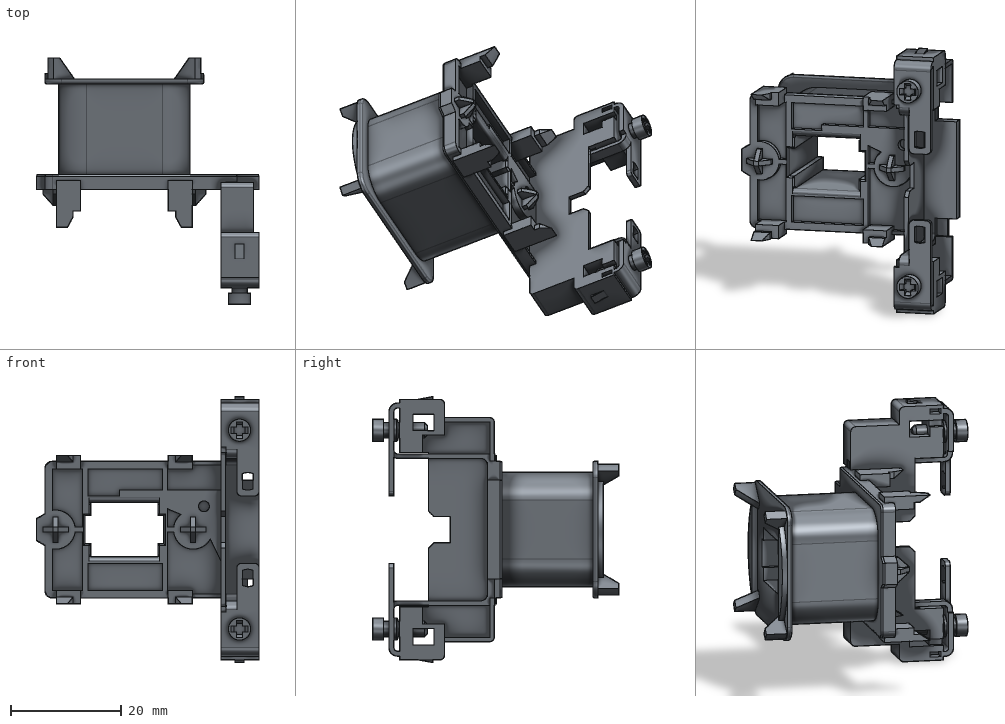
import cadquery as cq


BLOCK_LEFT = 17.55

FLANGE_THICK = 2.7
FLANGE_LEFT = -14.45
FLANGE_RIGHT = 24.5
FLANGE_HALF_H = 12.43
FLANGE_CORNER_R = 1.35
FLANGE_BEVEL_DEPTH = 0.37
FLANGE_BEVEL_ANGLE = 22
FLANGE_TAIL_HALF_H = 9.0
FLANGE_SHELF_RIGHT = 22.4
FLANGE_SHELF_FRONT_Y = 1.3
TONGUE_TIP_X = -16.0
TONGUE_BASE_HALF = 2.9
TONGUE_TIP_HALF = 2.0
CORE_HALF_W = 11.97
CORE_HALF_H = 10.43
CORE_CORNER_R = 5.05
REAR_Y = 20.1
REAR_THICK = 0.92
REAR_HALF_W = 14.45
REAR_HALF_H = 12.45
REAR_CORNER_R = 3.0
REAR_EDGE_R = 0.4
LIP_DEPTH = 1.0
LIP_HALF_H = 8.75
LIP_INNER_X = 11.0

WINDOW_HALF_W = 6.08
WINDOW_HALF_H = 4.9
NOTCH_HALF_W = 7.15
NOTCH_HALF_H = 2.55
MOUTH_BEVEL = 0.32
MOUTH_ROUND = 0.85

LEG_OUTER_POINT = (13.9, 10.7)
LEG_WIDTH = 1.6
LEG_ANGLE = -40
LEG_TIP_Y = 23.93
LEG_TIP_LENGTH = 1.45
LEG_BASE_LENGTH = 4.95

POCKET_DEPTH = 1.3
POCKET_OUTER_Z = 11.05
SIDE_POCKET_OUTER_Z = 11.74
SIDE_POCKET_LEFT = 7.8
SIDE_POCKET_UPPER_FLOOR_Z = 7.2
LEFT_POCKET_LEFT = -13.05
LEFT_POCKET_RIGHT = -7.6
MID_POCKET_LEFT = -6.6
MID_POCKET_RIGHT = 6.95
MID_POCKET_INNER_Z = 6.15
MID_POCKET_STEP_X = -0.9
RAMP_TOP_POINT = (15.63, -1.72)
RAMP_BOTTOM_POINT = (BLOCK_LEFT, -5.7)
CORNER_POCKET_TIP = (10.27, 2.75)
CORNER_POCKET_TOP_Z = 3.8
PIN_X = 12.5
PIN_BOSS_R = 3.56
PIN_RIB_HALF = 0.43
BLIND_HOLE_POINT = (14.47, 4.23)
BLIND_HOLE_R = 0.98
BLIND_HOLE_DEPTH = 1.5

PIN_HALF_W = 2.3
PIN_BLADE = 0.87
PIN_SHOULDER = 0.85
PIN_LENGTH = 2.92

LUG_BACK_Y = 1.65
LUG_SHOULDER_Y = -3.92
LUG_NECK_Y = -4.95
LUG_TIP_Y = -6.9
LUG_BOTTOM_Z = 11.05
LUG_STEP_Z = 12.25
LUG_TOP_Z = 13.5
LUG_OUTER_X = 12.35
LUG_INNER_X = 7.95
LUG_STEP_X = 9.3
LUG_TIP_X = 10.35

BLOCK_RIGHT = FLANGE_RIGHT
WALL = 0.8
ARM_RIGHT = 23.5
ARM_BACK_Y = 1.28
ARM_TOP_Z = 20.4
BOX_BACK_Y = -7.77
BOX_FRONT_Y = -15.95
BOX_TOP_Z = 23.7
BOX_BOTTOM_Z = 14.0
BOX_CORNER_R = 0.9
BOX_FOOT_BACK_Y = -11.75
WEB_FRONT_Y = -10.7
WEB_GAP_Y = -6.75
WEB_GAP_HALF = 2.35
WEB_GAP_CHAMFER = 1.0
WINDOW_BACK_Y = -9.7
WINDOW_FRONT_Y = -13.5
WINDOW_BOTTOM_Z = 18.0
WINDOW_TOP_Z = 20.95
SLIT_BOTTOM_Z = 19.7
SLIT_DEPTH = 1.0
BUMP_LEFT = 20.1
BUMP_RIGHT = 21.75
BUMP_BACK_Y = -9.9
BUMP_FRONT_Y = -12.55
BUMP_TOP_Z = 24.2

SHEET = 0.93
SHEET_FRONT_Y = -17.9
SHEET_TOP_Z = 23.03
SHEET_EDGE_Z = 15.0
BEND_R = 1.6
ARM_END_Y = -15.5
ARM_SLOT_DEPTH = 2.0
TAB_LEFT = 18.5
TAB_RIGHT = 20.45
TAB_BOTTOM_Z = 12.95
TAB_THICK = 0.82
TAB_BEND_R = 1.6
TAB_ROOT_R = TAB_BOTTOM_Z - SIDE_POCKET_OUTER_Z
BLADE_BOTTOM_Z = 6.14
BLADE_CORNER_R = 0.8
EYE_X = 22.43
EYE_WIDTH = 1.94
EYE_BOTTOM_Z = 7.2
EYE_TOP_Z = 10.35
EYE_BULGE = 0.2

SCREW_X = 20.94
SCREW_Z = 18.07
SHANK_R = 1.42
HEAD_R = 2.02
HEAD_FRONT_Y = -20.87
HEAD_HEIGHT = 2.02
SCREW_TIP_Y = -10.87
SCREW_TIP_CHAMFER = 0.58
WASHER_BACK_Y = -16.25
WASHER_CHAMFER = 0.25
DRIVE_HALF_W = 1.52
DRIVE_FLOOR_HALF_W = 1.0
DRIVE_BLADE = 1.15
DRIVE_STRAIGHT = 0.2
DRIVE_DEPTH = 1.2


def block(x0, x1, y0, y1, z0, z1):
    """Box between the given limits, in any order."""
    box = cq.Workplane("XY").box(abs(x1 - x0), abs(y1 - y0), abs(z1 - z0))
    return box.translate(((x0 + x1) / 2, (y0 + y1) / 2, (z0 + z1) / 2))


def prism_y(points, y0, y1):
    """Polygon of (x, z) points extruded from y0 to y1."""
    return cq.Workplane("XZ", origin=(0, y0, 0)).polyline(points).close().extrude(y0 - y1)


def prism_x(points, x0, x1):
    """Polygon of (y, z) points extruded from x0 to x1."""
    return cq.Workplane("YZ", origin=(x0, 0, 0)).polyline(points).close().extrude(x1 - x0)


def disc_y(x, z, radius, y0, y1):
    """Cylinder along Y from y0 to y1."""
    return cq.Workplane("XZ", origin=(x, y0, z)).circle(radius).extrude(y0 - y1)


def with_x_mirror(body):
    return body.union(body.mirror("YZ"))


def with_z_mirror(body):
    return body.union(body.mirror("XY"))


def crossed_blades(half_w, tip_half_w, thickness, y0, y_shoulder, y1):
    """Two crossed blades along Y about the Y axis, tapering from y_shoulder to y1."""
    outline = [
        (-half_w, y0),
        (-half_w, y_shoulder),
        (-tip_half_w, y1),
        (tip_half_w, y1),
        (half_w, y_shoulder),
        (half_w, y0),
    ]
    blade = cq.Workplane("XY").polyline(outline).close().extrude(thickness / 2, both=True)
    return blade.union(blade.rotate((0, 0, 0), (0, 1, 0), 90))


def window_outline(grow):
    """Plus-shaped window section, enlarged all round by grow."""
    w = WINDOW_HALF_W + grow
    h = WINDOW_HALF_H + grow
    nw = NOTCH_HALF_W + grow
    nh = NOTCH_HALF_H + grow
    return [
        (-nw, -nh), (-w, -nh), (-w, -h), (w, -h), (w, -nh), (nw, -nh),
        (nw, nh), (w, nh), (w, h), (-w, h), (-w, nh), (-nw, nh),
    ]


def cut_window(body):
    """Through window with a bevelled mouth and rounded top and bottom lips."""
    body = body.cut(prism_y(window_outline(0), 0, REAR_Y))
    mouth = cq.Workplane("XZ").polyline(window_outline(MOUTH_BEVEL)).close()
    body = body.cut(mouth.extrude(-MOUTH_BEVEL, taper=45))
    lip_half_w = WINDOW_HALF_W + MOUTH_BEVEL
    lip = (
        cq.Workplane("YZ", origin=(-lip_half_w, 0, 0))
        .moveTo(0, WINDOW_HALF_H - MOUTH_BEVEL)
        .lineTo(0, WINDOW_HALF_H + MOUTH_ROUND)
        .radiusArc((MOUTH_ROUND, WINDOW_HALF_H), -MOUTH_ROUND)
        .lineTo(MOUTH_ROUND, WINDOW_HALF_H - MOUTH_BEVEL)
        .close()
        .extrude(2 * lip_half_w)
    )
    return body.cut(with_z_mirror(lip))


def front_flange_blank():
    """Front flange with bevelled rear edge, left tongue, right tail and a shelf below the tail."""
    h = FLANGE_HALF_H
    r = FLANGE_CORNER_R
    outline = (
        cq.Workplane("XZ")
        .moveTo(TAB_RIGHT, -h)
        .lineTo(TAB_RIGHT, -FLANGE_TAIL_HALF_H)
        .lineTo(FLANGE_RIGHT, -FLANGE_TAIL_HALF_H)
        .lineTo(FLANGE_RIGHT, FLANGE_TAIL_HALF_H)
        .lineTo(TAB_RIGHT, FLANGE_TAIL_HALF_H)
        .lineTo(TAB_RIGHT, h)
        .lineTo(FLANGE_LEFT + r, h)
        .radiusArc((FLANGE_LEFT, h - r), -r)
        .lineTo(FLANGE_LEFT, TONGUE_BASE_HALF)
        .lineTo(TONGUE_TIP_X, TONGUE_TIP_HALF)
        .lineTo(TONGUE_TIP_X, -TONGUE_TIP_HALF)
        .lineTo(FLANGE_LEFT, -TONGUE_BASE_HALF)
        .lineTo(FLANGE_LEFT, r - h)
        .radiusArc((FLANGE_LEFT + r, -h), -r)
        .close()
    )
    plate = outline.extrude(FLANGE_BEVEL_DEPTH - FLANGE_THICK)
    plate = plate.faces(">Y").wires().toPending().workplane()
    plate = plate.extrude(FLANGE_BEVEL_DEPTH, taper=FLANGE_BEVEL_ANGLE)
    shelf_back_y = FLANGE_THICK - FLANGE_BEVEL_DEPTH
    shelf = block(
        TAB_RIGHT, FLANGE_SHELF_RIGHT, FLANGE_SHELF_FRONT_Y, shelf_back_y, -h, -FLANGE_TAIL_HALF_H
    )
    return plate.union(shelf)


def flange_pockets():
    """Shallow recesses in the front flange, leaving the pin bosses, ribs and rims standing."""
    d = POCKET_DEPTH
    left = block(LEFT_POCKET_LEFT, LEFT_POCKET_RIGHT, 0, d, -POCKET_OUTER_Z, POCKET_OUTER_Z)
    left = left.cut(block(-PIN_X, 0, 0, d, -PIN_RIB_HALF, PIN_RIB_HALF))
    upper = prism_y(
        [
            (MID_POCKET_LEFT, POCKET_OUTER_Z),
            (MID_POCKET_RIGHT, POCKET_OUTER_Z),
            (MID_POCKET_RIGHT, SIDE_POCKET_UPPER_FLOOR_Z),
            (MID_POCKET_STEP_X, SIDE_POCKET_UPPER_FLOOR_Z),
            (MID_POCKET_STEP_X, MID_POCKET_INNER_Z),
            (MID_POCKET_LEFT, MID_POCKET_INNER_Z),
        ],
        0,
        d,
    )
    lower = block(MID_POCKET_LEFT, MID_POCKET_RIGHT, 0, d, -POCKET_OUTER_Z, -MID_POCKET_INNER_Z)
    side_upper = block(
        SIDE_POCKET_LEFT, BLOCK_LEFT, 0, d, SIDE_POCKET_UPPER_FLOOR_Z, SIDE_POCKET_OUTER_Z
    )
    side_lower = prism_y(
        [
            (SIDE_POCKET_LEFT, -PIN_RIB_HALF), (PIN_X, -PIN_RIB_HALF), RAMP_TOP_POINT,
            RAMP_BOTTOM_POINT, (BLOCK_LEFT, -SIDE_POCKET_OUTER_Z),
            (SIDE_POCKET_LEFT, -SIDE_POCKET_OUTER_Z),
        ],
        0,
        d,
    )
    side_corner = prism_y(
        [
            (SIDE_POCKET_LEFT, PIN_RIB_HALF), (PIN_X, PIN_RIB_HALF),
            CORNER_POCKET_TIP, (SIDE_POCKET_LEFT, CORNER_POCKET_TOP_Z),
        ],
        0,
        d,
    )
    pockets = left
    for pocket in (upper, lower, side_upper, side_lower, side_corner):
        pockets = pockets.union(pocket)
    for x in (-PIN_X, PIN_X):
        pockets = pockets.cut(disc_y(x, 0, PIN_BOSS_R, 0, d))
    hole_x, hole_z = BLIND_HOLE_POINT
    return pockets.union(disc_y(hole_x, hole_z, BLIND_HOLE_R, 0, BLIND_HOLE_DEPTH))


def rear_flange():
    """Rear flange with a rounded front rim and two raised arc lips behind it."""
    plate = (
        cq.Workplane("XZ", origin=(0, REAR_Y - REAR_THICK, 0))
        .rect(2 * REAR_HALF_W, 2 * REAR_HALF_H)
        .extrude(-REAR_THICK)
        .edges("|Y")
        .fillet(REAR_CORNER_R)
        .faces("<Y")
        .edges()
        .fillet(REAR_EDGE_R)
    )
    lip_end_y = REAR_Y + LIP_DEPTH
    lip = disc_y(0, 0, REAR_HALF_W, REAR_Y, lip_end_y)
    lip = lip.intersect(block(LIP_INNER_X, REAR_HALF_W, REAR_Y, lip_end_y, -LIP_HALF_H, LIP_HALF_H))
    return plate.union(with_x_mirror(lip))


def rear_legs():
    """Four diagonal legs behind the rear flange with sloping inner ends."""
    strip = (
        cq.Workplane("XY")
        .polyline(
            [(0, REAR_Y), (0, LEG_TIP_Y), (-LEG_TIP_LENGTH, LEG_TIP_Y), (-LEG_BASE_LENGTH, REAR_Y)]
        )
        .close()
        .extrude(LEG_WIDTH)
    )
    x, z = LEG_OUTER_POINT
    leg = strip.rotate((0, 0, 0), (0, 1, 0), LEG_ANGLE).translate((x, 0, z))
    return with_z_mirror(with_x_mirror(leg))


def bobbin_core():
    core = block(-CORE_HALF_W, CORE_HALF_W, FLANGE_THICK, REAR_Y - REAR_THICK, -CORE_HALF_H, CORE_HALF_H)
    return core.edges("|Y").fillet(CORE_CORNER_R)


def snap_lugs():
    """Four hooked lugs on the rims of the front flange."""
    side = prism_x(
        [
            (LUG_BACK_Y, LUG_BOTTOM_Z), (LUG_SHOULDER_Y, LUG_BOTTOM_Z),
            (LUG_SHOULDER_Y, LUG_STEP_Z), (LUG_NECK_Y, LUG_STEP_Z),
            (LUG_TIP_Y, LUG_TOP_Z), (LUG_BACK_Y, LUG_TOP_Z),
        ],
        LUG_INNER_X,
        LUG_OUTER_X,
    )
    plan = (
        cq.Workplane("XY", origin=(0, 0, LUG_BOTTOM_Z))
        .polyline(
            [
                (LUG_OUTER_X, LUG_BACK_Y), (LUG_OUTER_X, LUG_TIP_Y), (LUG_TIP_X, LUG_TIP_Y),
                (LUG_STEP_X, LUG_NECK_Y), (LUG_STEP_X, LUG_SHOULDER_Y),
                (LUG_INNER_X, LUG_SHOULDER_Y), (LUG_INNER_X, LUG_BACK_Y),
            ]
        )
        .close()
        .extrude(LUG_TOP_Z - LUG_BOTTOM_Z)
    )
    return with_z_mirror(with_x_mirror(side.intersect(plan)))


def cross_pins():
    pin = crossed_blades(PIN_HALF_W, PIN_BLADE / 2, PIN_BLADE, POCKET_DEPTH, -PIN_SHOULDER, -PIN_LENGTH)
    return with_x_mirror(pin.translate((PIN_X, 0, 0)))


def terminal_web():
    """Upper half of the thin side wall behind the screw box, notched at mid height."""
    return prism_x(
        [
            (ARM_BACK_Y, 0), (WEB_GAP_Y, 0), (WEB_GAP_Y, WEB_GAP_HALF),
            (WEB_FRONT_Y + WEB_GAP_CHAMFER, WEB_GAP_HALF),
            (WEB_FRONT_Y, WEB_GAP_HALF + WEB_GAP_CHAMFER),
            (WEB_FRONT_Y, ARM_TOP_Z), (ARM_BACK_Y, ARM_TOP_Z),
        ],
        BLOCK_LEFT,
        BLOCK_LEFT + WALL,
    )


def terminal_housing():
    """Upper half of the plastic housing: side wall, hollow arm and screw box."""
    arm = block(BLOCK_LEFT, ARM_RIGHT, BOX_BACK_Y, ARM_BACK_Y, FLANGE_HALF_H, ARM_TOP_Z)
    arm = arm.cut(
        block(BLOCK_LEFT + WALL, ARM_RIGHT, BOX_BACK_Y, ARM_BACK_Y - WALL, 0, ARM_TOP_Z - WALL)
    )
    housing = terminal_web().union(arm).edges("|X and >Y and >Z").fillet(BOX_CORNER_R)
    box = block(BLOCK_LEFT, BLOCK_RIGHT, BOX_BACK_Y, BOX_FRONT_Y, WINDOW_BOTTOM_Z - WALL, BOX_TOP_Z)
    box = box.edges("|X and >Y and >Z").fillet(BOX_CORNER_R)
    foot = block(BLOCK_LEFT, BLOCK_RIGHT, BOX_FOOT_BACK_Y, BOX_FRONT_Y, BOX_BOTTOM_Z, WINDOW_BOTTOM_Z)
    bump = prism_x(
        [
            (BUMP_BACK_Y, BOX_TOP_Z - WALL), (BUMP_BACK_Y, BUMP_TOP_Z),
            (BUMP_FRONT_Y, BOX_TOP_Z), (BUMP_FRONT_Y, BOX_TOP_Z - WALL),
        ],
        BUMP_LEFT,
        BUMP_RIGHT,
    )
    front_web = block(
        BLOCK_LEFT, BLOCK_LEFT + WALL, WEB_FRONT_Y, BOX_FRONT_Y, BOX_BOTTOM_Z, WINDOW_BOTTOM_Z
    )
    housing = housing.union(box).union(front_web).union(foot).union(bump)
    housing = housing.cut(
        block(BLOCK_LEFT, BLOCK_RIGHT, WINDOW_BACK_Y, WINDOW_FRONT_Y, WINDOW_BOTTOM_Z, WINDOW_TOP_Z)
    )
    slit_right = BLOCK_LEFT + SLIT_DEPTH
    housing = housing.cut(
        block(BLOCK_LEFT, slit_right, WINDOW_FRONT_Y, BOX_FRONT_Y, SLIT_BOTTOM_Z, WINDOW_TOP_Z)
    )
    slot_right = BLOCK_LEFT + ARM_SLOT_DEPTH
    return housing.cut(
        block(BLOCK_LEFT, slot_right, WINDOW_FRONT_Y, BOX_FRONT_Y, SHEET_TOP_Z - SHEET, SHEET_TOP_Z)
    )


def terminal_face():
    """Bent sheet: short arm into the box, then a face plate down its front."""
    back_y = SHEET_FRONT_Y + SHEET
    inner_r = BEND_R - SHEET
    return (
        cq.Workplane("YZ", origin=(BLOCK_LEFT, 0, 0))
        .moveTo(ARM_END_Y, SHEET_TOP_Z)
        .lineTo(SHEET_FRONT_Y + BEND_R, SHEET_TOP_Z)
        .radiusArc((SHEET_FRONT_Y, SHEET_TOP_Z - BEND_R), -BEND_R)
        .lineTo(SHEET_FRONT_Y, SHEET_EDGE_Z)
        .lineTo(back_y, SHEET_EDGE_Z)
        .lineTo(back_y, SHEET_TOP_Z - BEND_R)
        .radiusArc((back_y + inner_r, SHEET_TOP_Z - SHEET), inner_r)
        .lineTo(ARM_END_Y, SHEET_TOP_Z - SHEET)
        .close()
        .extrude(BLOCK_RIGHT - BLOCK_LEFT)
    )


def terminal_tab():
    """Narrow tab bent back from the face plate to the flange, filleted at its root."""
    back_y = SHEET_FRONT_Y + SHEET
    inner_r = TAB_BEND_R - SHEET
    top_z = TAB_BOTTOM_Z + TAB_THICK
    return (
        cq.Workplane("YZ", origin=(TAB_LEFT, 0, 0))
        .moveTo(SHEET_FRONT_Y, SHEET_EDGE_Z)
        .lineTo(SHEET_FRONT_Y, TAB_BOTTOM_Z + TAB_BEND_R)
        .radiusArc((SHEET_FRONT_Y + TAB_BEND_R, TAB_BOTTOM_Z), -TAB_BEND_R)
        .lineTo(-TAB_ROOT_R, TAB_BOTTOM_Z)
        .radiusArc((0, TAB_BOTTOM_Z - TAB_ROOT_R), TAB_ROOT_R)
        .lineTo(FLANGE_THICK / 2, TAB_BOTTOM_Z - TAB_ROOT_R)
        .lineTo(FLANGE_THICK / 2, top_z)
        .lineTo(back_y + inner_r, top_z)
        .radiusArc((back_y, top_z + inner_r), inner_r)
        .lineTo(back_y, SHEET_EDGE_Z)
        .close()
        .extrude(TAB_RIGHT - TAB_LEFT)
    )


def terminal_blade():
    """Flat blade hanging from the face plate, with an eye near its rounded end."""
    back_y = SHEET_FRONT_Y + SHEET
    blade = block(TAB_RIGHT, BLOCK_RIGHT, SHEET_FRONT_Y, back_y, BLADE_BOTTOM_Z, SHEET_EDGE_Z)
    blade = blade.edges("|Y and <Z").fillet(BLADE_CORNER_R)
    left = EYE_X - EYE_WIDTH / 2
    right = EYE_X + EYE_WIDTH / 2
    eye = (
        cq.Workplane("XZ", origin=(0, back_y, 0))
        .moveTo(left, EYE_BOTTOM_Z + EYE_BULGE)
        .threePointArc((EYE_X, EYE_BOTTOM_Z), (right, EYE_BOTTOM_Z + EYE_BULGE))
        .lineTo(right, EYE_TOP_Z - EYE_BULGE)
        .threePointArc((EYE_X, EYE_TOP_Z), (left, EYE_TOP_Z - EYE_BULGE))
        .close()
        .extrude(SHEET)
    )
    return blade.cut(eye)


def clamp_screw():
    """Screw with washer and a tapered cross recess in its head."""
    head_back_y = HEAD_FRONT_Y + HEAD_HEIGHT
    shank = disc_y(SCREW_X, SCREW_Z, SHANK_R, head_back_y, SCREW_TIP_Y)
    shank = shank.faces(">Y").edges().chamfer(SCREW_TIP_CHAMFER)
    head = disc_y(SCREW_X, SCREW_Z, HEAD_R, HEAD_FRONT_Y, head_back_y)
    washer = disc_y(SCREW_X, SCREW_Z, HEAD_R, SHEET_FRONT_Y + SHEET, WASHER_BACK_Y)
    washer = washer.faces(">Y").edges().chamfer(WASHER_CHAMFER)
    recess = crossed_blades(DRIVE_HALF_W, DRIVE_FLOOR_HALF_W, DRIVE_BLADE, 0, DRIVE_STRAIGHT, DRIVE_DEPTH)
    recess = recess.translate((SCREW_X, HEAD_FRONT_Y, SCREW_Z))
    return shank.union(head).union(washer).cut(recess)


front_flange = front_flange_blank().cut(flange_pockets())
bobbin = cut_window(front_flange.union(bobbin_core()).union(rear_flange()))
bobbin = bobbin.union(rear_legs()).union(snap_lugs()).union(cross_pins())

terminal = terminal_housing()
for piece in (terminal_face(), terminal_tab(), terminal_blade(), clamp_screw()):
    terminal = terminal.union(piece)

result = bobbin.union(with_z_mirror(terminal))